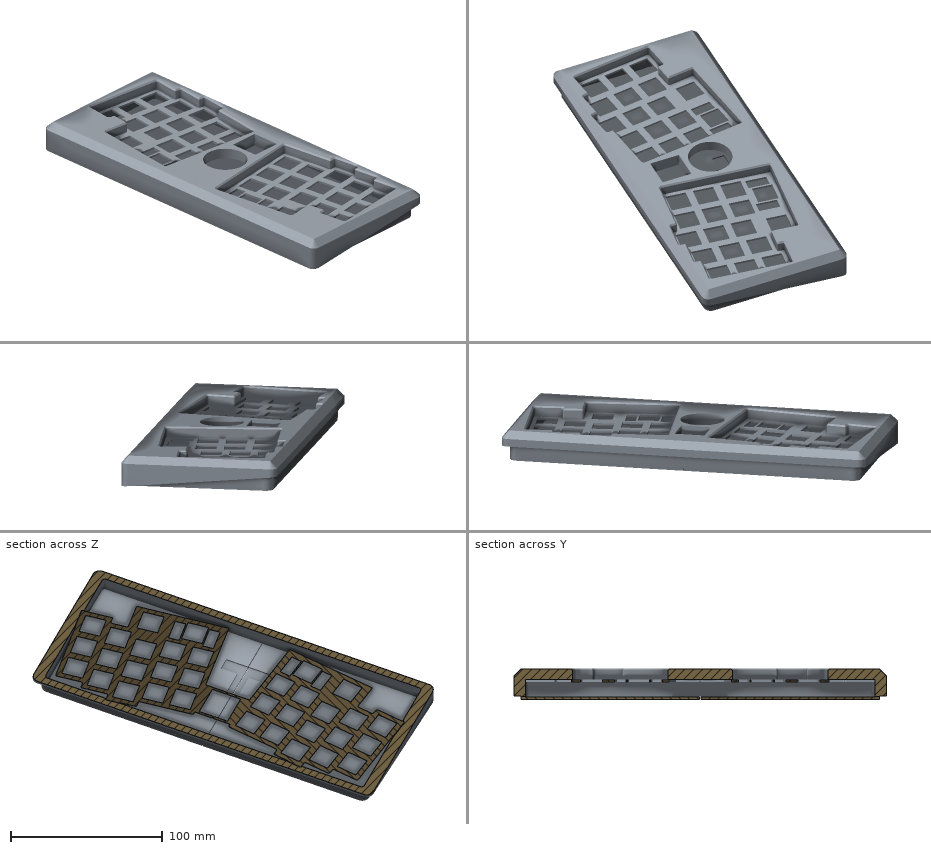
import cadquery as cq
case_length = 246.5
case_depth = 104.7
case_height = 20.2
back_lift = 10.4
case_corner_radius = 5.0
case_chamfer = 4.7
half_depth = case_depth / 2

foot_side_inset = 4.7
foot_back_inset = 3.7
foot_corner_radius = 5.2
foot_draft = 2.0
floor_thickness = 2.0
foot_side_wall = 3.2
foot_back_wall = 2.0

plate_thickness = 1.5
plate_top = 13.0
plate_bottom = plate_top - plate_thickness
plate_lip = 1.2
centre_gap = 0.5

pitch = 19.0
key_angle = -7.0
key_origin = (-100.3, 31.0)
column_stagger = [0, 0.25, 0.5, 0.25, 0.25]
rows = 3
thumb_row = -2.75
thumb_key = 1.875
wide_thumb_key = 3.5
switch_hole = 14.0
stabiliser_width = 7.1
stabiliser_height = 14.5
stabiliser_offset = 11.8
stabiliser_rise = 1.7
key_outline = [
    (-0.5, 0.5),
    (0.5, 0.5),
    (0.5, 0.75),
    (1.5, 0.75),
    (1.5, 1),
    (2.5, 1),
    (2.5, 0.75),
    (4.5, 0.75),
    (4.5, -3.25),
    (1.25, -3.25),
    (1.25, -2.25),
    (0.5, -2.25),
    (0.5, -2.5),
    (-0.5, -2.5),
]
pocket_margin = 0.2
pocket_corner_radius = 1.04
pocket_chamfer = 1.0

window_width = 20.2
window_back = 31.5
window_front = 10.8
dial_diameter = 29.3
dial_centre = -7.5
wing_half_width = 19.7
wing_back = 33.5
wing_front = 8.9

recess_depth = 1.0
recess_half_width = 16.0
recess_front = -24.6
recess_shoulder = -16.0
stem_half_width = 4.2
stem_back = 2.0


def box(x_range, y_range, z_range):
    """Box between two corners given as ranges along X, Y and Z."""
    size = [high - low for low, high in (x_range, y_range, z_range)]
    return cq.Workplane().box(*size, centered=False).translate((x_range[0], y_range[0], z_range[0]))


def mirrored(body):
    """The right-hand twin of a left-hand body."""
    return body.mirror("YZ")


def place_keys(body):
    """Turns a body from key layout axes to its place in the left half."""
    return body.rotate((0, 0, 0), (0, 0, 1), key_angle).translate((*key_origin, 0))


def key_area(bottom, top, margin):
    """Prism over the keys of the left half, grown by a margin."""
    points = [(u * pitch, v * pitch) for u, v in key_outline]
    outline = cq.Workplane().workplane(offset=bottom).polyline(points).close()
    outline = outline.offset2D(margin, "intersection")
    prism = outline.extrude(top - bottom).edges("|Z").fillet(pocket_corner_radius)
    return place_keys(prism)


def key_pocket():
    """Opening above the left keys, with a chamfered rim."""
    straight = key_area(plate_top, case_height, pocket_margin)
    rim_start = case_height - pocket_chamfer
    outline = key_area(0, rim_start, pocket_margin).faces(">Z").wires()
    rim = outline.toPending().workplane(origin=(0, 0, rim_start)).extrude(pocket_chamfer, taper=-45)
    return straight.union(rim)


def key_holes():
    """Switch and stabiliser openings of the left plate."""
    centres = [(u, v - row) for u, v in enumerate(column_stagger) for row in range(rows)]
    centres += [(thumb_key, thumb_row), (wide_thumb_key, thumb_row)]
    holes = (
        cq.Workplane()
        .workplane(offset=plate_bottom)
        .pushPoints([(u * pitch, v * pitch) for u, v in centres])
        .rect(switch_hole, switch_hole)
        .extrude(plate_thickness)
    )
    wide_x = wide_thumb_key * pitch
    slot_y = thumb_row * pitch + stabiliser_rise
    slots = (
        cq.Workplane()
        .workplane(offset=plate_bottom)
        .pushPoints([(wide_x - stabiliser_offset, slot_y), (wide_x + stabiliser_offset, slot_y)])
        .rect(stabiliser_width, stabiliser_height)
        .extrude(plate_thickness)
    )
    return place_keys(holes.union(slots))


def window(bottom, top):
    """Rectangular opening in the middle, between two heights."""
    return box((-window_width / 2, window_width / 2), (window_front, window_back), (bottom, top))


def plate_blank():
    """Left plate without openings, reaching from the keys to the middle."""
    wing = box((-wing_half_width, -centre_gap / 2), (wing_front, wing_back), (plate_bottom, plate_top))
    return key_area(plate_bottom, plate_top, plate_lip).union(wing)


def make_plate():
    """Left switch plate."""
    return plate_blank().cut(key_holes()).cut(window(plate_bottom, plate_top))


def foot_block(bottom, top):
    """Slice between two heights of the drafted block that forms the foot."""
    block = (
        cq.Workplane()
        .sketch()
        .rect(case_length - 2 * foot_side_inset, case_depth - 2 * foot_back_inset)
        .vertices()
        .fillet(foot_corner_radius)
        .finalize()
        .extrude(back_lift, taper=-foot_draft)
    )
    reach = box((-case_length, case_length), (-case_depth, case_depth), (bottom, top))
    return block.intersect(reach)


def make_floor():
    """Left floor plate with its half of the T-shaped recess."""
    left = box((-case_length, -centre_gap / 2), (-case_depth, case_depth), (0, floor_thickness))
    depth = (floor_thickness - recess_depth, floor_thickness)
    bar = box((-recess_half_width, 0), (recess_front, recess_shoulder), depth)
    stem = box((-stem_half_width, 0), (recess_shoulder, stem_back), depth)
    return foot_block(0, floor_thickness).intersect(left).cut(bar).cut(stem)


def case_block():
    """Solid case with its chamfered top, sloped underside and foot."""
    block = (
        cq.Workplane()
        .rect(case_length, case_depth)
        .extrude(case_height)
        .edges("|Z")
        .fillet(case_corner_radius)
        .faces(">Z")
        .chamfer(case_chamfer)
    )
    under = (
        cq.Workplane("YZ")
        .polyline([(-half_depth, 0), (half_depth, 0), (half_depth, back_lift)])
        .close()
        .extrude(case_length / 2, both=True)
    )
    return block.cut(under).union(foot_block(0, back_lift))


def cavity():
    """Room inside the case, between the floors and the roof."""
    length = case_length - 2 * (foot_side_inset + foot_side_wall)
    depth = case_depth - 2 * (foot_back_inset + foot_back_wall)
    return (
        cq.Workplane()
        .workplane(offset=floor_thickness)
        .rect(length, depth)
        .extrude(plate_top - floor_thickness)
        .edges("|Z")
        .fillet(foot_corner_radius - foot_side_wall)
    )


def make_case():
    """Case with its key pockets, middle openings and inner room."""
    pocket = key_pocket()
    case = case_block().cut(pocket).cut(mirrored(pocket))
    case = case.cut(window(plate_top, case_height))
    dial = cq.Workplane().workplane(offset=plate_top).center(0, dial_centre)
    case = case.cut(dial.circle(dial_diameter / 2).extrude(case_height - plate_top))
    return case.cut(cavity()).cut(foot_block(0, floor_thickness))


plate = make_plate()
floor = make_floor()
case = make_case()
result = cq.Compound.makeCompound(
    [case.val(), plate.val(), mirrored(plate).val(), floor.val(), mirrored(floor).val()]
)